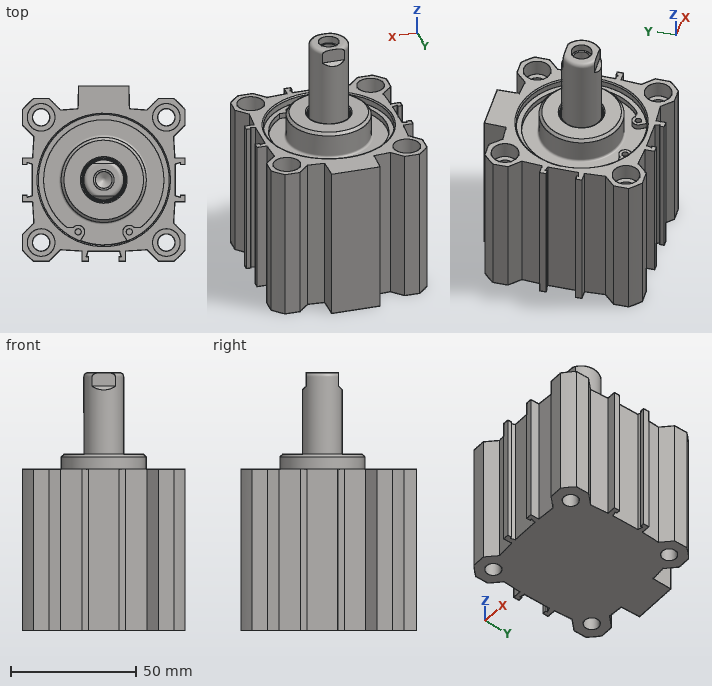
import cadquery as cq
import math

HOUSING_HEIGHT = 64.5
HALF_SIZE = 32.5
CORNER_ROUND_DIAMETER = 85.8
CORNER_INNER_END = 21.8
WALL_AT_CORNER = 27.9
WALL_AT_MIDDLE = 28.4

RIB_OUTER = 8.8
SLOT_HALF_OPENING = 6.1
SLOT_HALF_UNDERCUT = 6.9
SLOT_HALF_FLOOR = 6.3
SLOT_FLOOR = 28.5
LIP_BACK = 30.6

PORT_BLOCK_TOP = 37.54
PORT_HALF_TOP = 10.1
PORT_HALF_BASE = 10.3

BOLT_SPACING = 50.0
BOLT_HOLE_DIAMETER = 6.8
BOLT_COUNTERBORE_DIAMETER = 11.0
BOLT_COUNTERBORE_DEPTH = 7.0

MOUTH_DIAMETER = 52.2
MOUTH_CHAMFER = 0.5
COVER_BORE_DIAMETER = 51.8
COVER_THICKNESS = 12.4

RING_DIAMETER = 55.2
RING_INNER_DIAMETER = 48.0
RING_THICKNESS = 2.3
RING_RECESS = 3.0
LUG_X = 10.2
LUG_Y = -20.7
LUG_RADIUS = 2.6
LUG_SHOULDER_Y = -19.0
LUG_FLANK_ANGLE = -30.0
LUG_FLANK_LENGTH = 10.3
PLIER_HOLE_DIAMETER = 2.5

BOSS_DIAMETER = 34.0
BOSS_PROTRUSION = 6.0
BOSS_CHAMFER = 1.1
BOSS_BASE_FILLET = 0.9
ROD_BORE_DIAMETER = 16.6
SEAL_SEAT_DIAMETER = 17.7
SEAL_SEAT_DEPTH = 1.5
SEAL_SEAT_CHAMFER = 0.46
LIP_HEIGHT = 0.4

ROD_DIAMETER = 16.0
ROD_TOP = 103.0
ROD_END_FILLET = 1.8
FLATS_WIDTH = 13.0
FLATS_LENGTH = 5.5
ROD_HOLE_DIAMETER = 6.7
ROD_HOLE_DEPTH = 16.5
ROD_COUNTERBORE_DIAMETER = 8.2
ROD_COUNTERBORE_DEPTH = 3.0
DRILL_POINT_ANGLE = 118.0

RING_TOP = HOUSING_HEIGHT - RING_RECESS
COVER_TOP = RING_TOP - RING_THICKNESS
BORE_FLOOR = COVER_TOP - COVER_THICKNESS
BOSS_TOP = HOUSING_HEIGHT + BOSS_PROTRUSION


def cylinder(diameter, bottom, top):
    """Upright cylinder on the Z axis between two levels."""
    return cq.Workplane("XY").workplane(offset=bottom).circle(diameter / 2).extrude(top - bottom)


def prism(points, bottom, top):
    """Upright prism over a closed outline of points between two levels."""
    return cq.Workplane("XY").workplane(offset=bottom).polyline(points).close().extrude(top - bottom)


def mirrored_x(points):
    """The same points mirrored in X, in reverse order."""
    return [(-x, y) for x, y in reversed(points)]


def slotted_side():
    """Outline of the -Y side with its T-slot, from the left corner to the right one."""
    left = [
        (-RIB_OUTER, -WALL_AT_MIDDLE),
        (-RIB_OUTER, -HALF_SIZE),
        (-SLOT_HALF_OPENING, -HALF_SIZE),
        (-SLOT_HALF_OPENING, -LIP_BACK),
        (-SLOT_HALF_UNDERCUT, -LIP_BACK),
        (-SLOT_HALF_FLOOR, -SLOT_FLOOR),
    ]
    return left + mirrored_x(left)


def port_side():
    """Outline of a side with the port block, given in the same place as the slotted side."""
    left = [(-PORT_HALF_BASE, -WALL_AT_MIDDLE), (-PORT_HALF_TOP, -PORT_BLOCK_TOP)]
    return left + mirrored_x(left)


def bolt_corner():
    """Square outline of the corner that follows the -Y side, counter-clockwise."""
    neck = CORNER_INNER_END - (HALF_SIZE - WALL_AT_CORNER)
    lower = [
        (neck, -WALL_AT_CORNER),
        (CORNER_INNER_END, -HALF_SIZE),
    ]
    upper = [(-y, -x) for x, y in reversed(lower)]
    return lower + [(HALF_SIZE, -HALF_SIZE)] + upper


def quarter_turned(points, turns):
    """Points rotated counter-clockwise by a number of quarter turns."""
    for _ in range(turns):
        points = [(-y, x) for x, y in points]
    return points


def make_housing():
    outline = []
    for turns, side in enumerate([slotted_side(), slotted_side(), port_side(), slotted_side()]):
        outline += quarter_turned(side + bolt_corner(), turns)
    body = prism(outline, 0, HOUSING_HEIGHT)
    body = (
        body.faces(">Z").workplane(origin=(0, 0, HOUSING_HEIGHT))
        .rect(BOLT_SPACING, BOLT_SPACING, forConstruction=True).vertices()
        .cboreHole(BOLT_HOLE_DIAMETER, BOLT_COUNTERBORE_DIAMETER, BOLT_COUNTERBORE_DEPTH)
    )
    mouth = cylinder(MOUTH_DIAMETER, RING_TOP, HOUSING_HEIGHT)
    ring_groove = cylinder(RING_DIAMETER, COVER_TOP, RING_TOP)
    cover_bore = cylinder(COVER_BORE_DIAMETER, BORE_FLOOR, COVER_TOP)
    body = body.cut(mouth).cut(ring_groove).cut(cover_bore)
    mouth_edge = cq.selectors.RadiusNthSelector(-1)
    body = body.faces(">Z").edges("%CIRCLE").edges(mouth_edge).chamfer(MOUTH_CHAMFER)
    return body.intersect(cylinder(CORNER_ROUND_DIAMETER, 0, HOUSING_HEIGHT))


def make_retaining_ring():
    flank_angle = math.radians(LUG_FLANK_ANGLE)
    flank_start = (
        -LUG_X + LUG_RADIUS * math.cos(flank_angle),
        LUG_Y + LUG_RADIUS * math.sin(flank_angle),
    )
    flank_end = (
        flank_start[0] + LUG_FLANK_LENGTH * math.sin(flank_angle),
        flank_start[1] - LUG_FLANK_LENGTH * math.cos(flank_angle),
    )
    disc = cylinder(RING_DIAMETER, COVER_TOP, RING_TOP)
    gap_half = [flank_end, flank_start, (-LUG_X, LUG_Y)]
    gap = prism(gap_half + mirrored_x(gap_half), COVER_TOP, RING_TOP)
    ring = disc.cut(cylinder(RING_INNER_DIAMETER, COVER_TOP, RING_TOP)).cut(gap)

    shoulder_x = -math.sqrt((RING_INNER_DIAMETER / 2) ** 2 - LUG_SHOULDER_Y ** 2)
    web_outline = [
        (shoulder_x, LUG_SHOULDER_Y),
        (-LUG_X, LUG_SHOULDER_Y),
        (-LUG_X, LUG_Y),
        flank_start,
        flank_end,
        (shoulder_x, flank_end[1]),
    ]
    lug = (
        cq.Workplane("XY").workplane(offset=COVER_TOP)
        .center(-LUG_X, LUG_Y).circle(LUG_RADIUS).extrude(RING_THICKNESS)
        .union(prism(web_outline, COVER_TOP, RING_TOP))
        .intersect(disc)
    )
    plier_holes = (
        cq.Workplane("XY").workplane(offset=COVER_TOP)
        .pushPoints([(-LUG_X, LUG_Y), (LUG_X, LUG_Y)])
        .circle(PLIER_HOLE_DIAMETER / 2).extrude(RING_THICKNESS)
    )
    return ring.union(lug).union(lug.mirror("YZ")).cut(plier_holes)


def make_cover():
    flange = cylinder(COVER_BORE_DIAMETER, BORE_FLOOR, COVER_TOP)
    boss = cylinder(BOSS_DIAMETER, COVER_TOP, BOSS_TOP).faces(">Z").edges().chamfer(BOSS_CHAMFER)
    cover = flange.union(boss)
    boss_base_point = cq.selectors.NearestToPointSelector((0, 0, COVER_TOP))
    boss_edges = cover.edges("%CIRCLE").edges(cq.selectors.RadiusNthSelector(1))
    cover = boss_edges.edges(boss_base_point).fillet(BOSS_BASE_FILLET)
    seal_seat = cylinder(SEAL_SEAT_DIAMETER, BOSS_TOP - SEAL_SEAT_DEPTH, BOSS_TOP)
    cover = cover.cut(seal_seat)
    cover = cover.faces(">Z").edges(cq.selectors.RadiusNthSelector(0)).chamfer(SEAL_SEAT_CHAMFER)

    seat_floor = BOSS_TOP - SEAL_SEAT_DEPTH
    lip = cq.Workplane("XY").add(
        cq.Solid.makeCone(
            SEAL_SEAT_DIAMETER / 2,
            SEAL_SEAT_DIAMETER / 2 - LIP_HEIGHT,
            LIP_HEIGHT,
            pnt=cq.Vector(0, 0, seat_floor),
        )
    )
    return cover.union(lip).cut(cylinder(ROD_BORE_DIAMETER, BORE_FLOOR, BOSS_TOP))


def make_rod():
    rod = cylinder(ROD_DIAMETER, BORE_FLOOR, ROD_TOP).faces(">Z").edges().fillet(ROD_END_FILLET)

    flat_bottom = ROD_TOP - FLATS_LENGTH
    flat_y = FLATS_WIDTH / 2
    runout = ROD_DIAMETER - flat_y
    flat_cutter = (
        cq.Workplane("YZ")
        .polyline([
            (flat_y, ROD_TOP),
            (flat_y, flat_bottom),
            (ROD_DIAMETER, flat_bottom - runout),
            (ROD_DIAMETER, ROD_TOP),
        ])
        .close().extrude(ROD_DIAMETER, both=True)
    )
    rod = rod.cut(flat_cutter).cut(flat_cutter.mirror("XZ"))

    hole_radius = ROD_HOLE_DIAMETER / 2
    hole_bottom = ROD_TOP - ROD_HOLE_DEPTH
    point_length = hole_radius / math.tan(math.radians(DRILL_POINT_ANGLE / 2))
    step_level = ROD_TOP - ROD_COUNTERBORE_DEPTH
    stepped_hole = (
        cq.Workplane("XZ")
        .polyline([
            (0, hole_bottom - point_length),
            (hole_radius, hole_bottom),
            (hole_radius, step_level),
            (ROD_COUNTERBORE_DIAMETER / 2, step_level),
            (ROD_COUNTERBORE_DIAMETER / 2, ROD_TOP),
            (0, ROD_TOP),
        ])
        .close().revolve(360, (0, 0), (0, 1))
    )
    return rod.cut(stepped_hole)


housing = make_housing()
retaining_ring = make_retaining_ring()
cover = make_cover()
rod = make_rod()

result = cq.Compound.makeCompound([housing.val(), retaining_ring.val(), cover.val(), rod.val()])